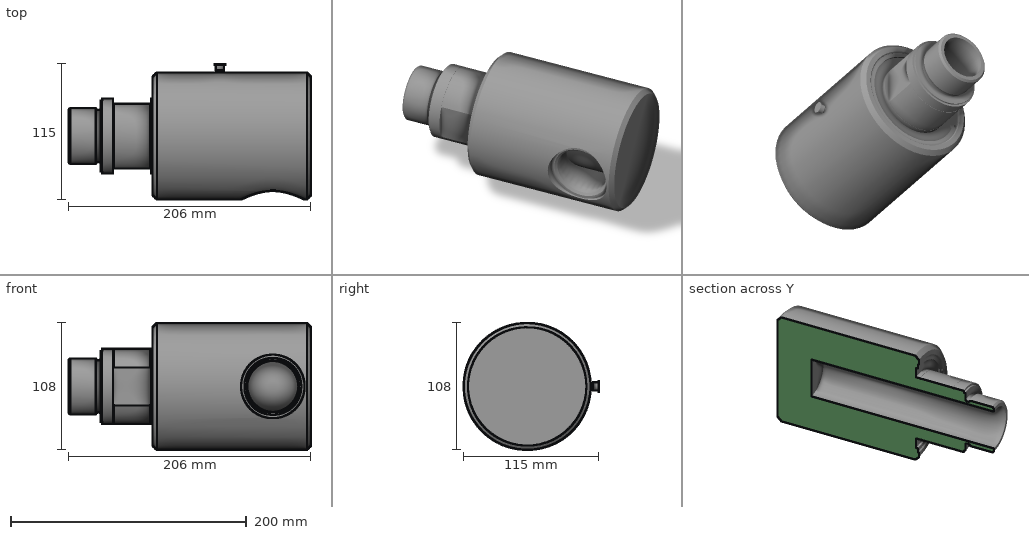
import cadquery as cq
length = 206
relief_start = 23.5
collar_start = 27.2
flats_start = 38.0
flats_end = 70
body_start = 71.3

thread_end = 23.0
thread_diameter = 47.8
thread_chamfer = 1.6
relief_edge_diameter = 45.7
relief_diameter = 44.3

collar_diameter = 64.0
collar_step_diameter = 60.3
collar_step_length = 1.5
groove_width = 0.8
groove_depth = 0.2
flats_width = 55.2

body_diameter = 108.0
body_chamfer = 3.7
bore_diameter = 38.1
shaft_diameter = 50.3

recess_diameter = 90.0
recess_mouth_diameter = 91.7
recess_depth = 2.7
recess_floor = body_start + recess_depth
ring_inner_diameter = 82.4
ring_thickness = 1.6
lug_diameter = 9.0
lug_hole_diameter = 3.0
lug_offset_y = 42.2
lug_offset_z = 11.7

port_x = 173.5
port_face_y = -45.7
port_chamfer_y = -43.9
port_taper_end_y = -28.8
port_spotface_diameter = 54.0
port_mouth_diameter = 48.5
port_entry_diameter = 44.5
port_diameter = 43.3

pin_x = 128.5
pin_root_y = 47.4
pin_neck_end_y = 55.0
pin_shank_start_y = 56.0
pin_top_y = 61.0
pin_neck_diameter = 4.7
pin_shank_diameter = 7.2
pin_head_diameter = 9.5
pin_head_thickness = 0.6


def disc(start, end, diameter):
    """Cylinder about the X axis between two stations."""
    return cq.Workplane("YZ", origin=(start, 0, 0)).circle(diameter / 2).extrude(end - start)


def turned_about_x(outline):
    """Solid of revolution about the X axis from an (x, radius) outline."""
    return outline.close().revolve(360, (0, 0, 0), (1, 0, 0))


def turned_about_y(center_x, steps):
    """Solid of revolution about a line parallel to Y, from (diameter, y) steps."""
    outline = [(0, steps[0][1])]
    outline += [(diameter / 2, y) for diameter, y in steps]
    outline += [(0, steps[-1][1])]
    solid = cq.Workplane("XY").polyline(outline).close().revolve(360, (0, 0, 0), (0, 1, 0))
    return solid.translate((center_x, 0, 0))


def make_spigot():
    """Thread, relief and wrench collar, reaching to the recess floor."""
    thread_radius = thread_diameter / 2
    relief_edge_radius = relief_edge_diameter / 2
    step_radius = collar_step_diameter / 2
    collar_radius = collar_diameter / 2
    groove_radius = collar_radius - groove_depth
    collar_face = collar_start + collar_step_length
    relief_middle = (relief_start + collar_start) / 2
    outline = (
        cq.Workplane("XY")
        .lineTo(0, thread_radius - thread_chamfer)
        .lineTo(thread_chamfer, thread_radius)
        .lineTo(thread_end, thread_radius)
        .lineTo(relief_start, relief_edge_radius)
        .threePointArc((relief_middle, relief_diameter / 2), (collar_start, relief_edge_radius))
        .lineTo(collar_start, step_radius)
        .lineTo(collar_face, step_radius)
        .lineTo(collar_face, collar_radius)
    )
    for groove_start in (flats_start, flats_end - groove_width):
        groove_end = groove_start + groove_width
        outline = (
            outline.lineTo(groove_start, collar_radius)
            .lineTo(groove_start, groove_radius)
            .lineTo(groove_end, groove_radius)
            .lineTo(groove_end, collar_radius)
        )
    outline = outline.lineTo(recess_floor, collar_radius).lineTo(recess_floor, 0)
    spigot = turned_about_x(outline)

    flats_length = flats_end - flats_start
    kept_core = cq.Workplane("XY").box(flats_length, flats_width, collar_diameter)
    kept_core = kept_core.translate((flats_start + flats_length / 2, 0, 0))
    return spigot.cut(disc(flats_start, flats_end, collar_diameter).cut(kept_core))


def make_body():
    """Chamfered cylinder with a bevelled recess in its front face."""
    body = disc(body_start, length, body_diameter).faces("<X or >X").chamfer(body_chamfer)
    recess_radius = recess_diameter / 2
    mouth_radius = recess_mouth_diameter / 2
    bevel_end = body_start + mouth_radius - recess_radius
    recess_outline = (
        cq.Workplane("XY")
        .moveTo(body_start, 0)
        .lineTo(body_start, mouth_radius)
        .lineTo(bevel_end, recess_radius)
        .lineTo(recess_floor, recess_radius)
        .lineTo(recess_floor, 0)
    )
    return body.cut(turned_about_x(recess_outline))


def make_retaining_ring():
    """Open ring with a drilled lug at each end of its gap on the -Y side."""
    ring_front = recess_floor - ring_thickness
    envelope = disc(ring_front, recess_floor, recess_diameter)
    ring = envelope.cut(disc(ring_front, recess_floor, ring_inner_diameter))
    gap = cq.Workplane("XY").box(ring_thickness, recess_diameter, 2 * lug_offset_z)
    ring = ring.cut(gap.translate((ring_front + ring_thickness / 2, -recess_diameter / 2, 0)))
    for lug_z in (-lug_offset_z, lug_offset_z):
        lug_place = (0, -lug_offset_y, lug_z)
        lug = disc(ring_front, recess_floor, lug_diameter).translate(lug_place)
        hole = disc(ring_front, recess_floor, lug_hole_diameter).translate(lug_place)
        ring = ring.union(lug.intersect(envelope)).cut(hole)
    return ring


def make_pin():
    """Necked pin with a thin head, rooted inside the body wall."""
    head_base_y = pin_top_y - pin_head_thickness
    return turned_about_y(
        pin_x,
        [
            (pin_neck_diameter, pin_root_y),
            (pin_neck_diameter, pin_neck_end_y),
            (pin_shank_diameter, pin_shank_start_y),
            (pin_shank_diameter, head_base_y),
            (pin_head_diameter, head_base_y),
            (pin_head_diameter, pin_top_y),
        ],
    )


def make_port():
    """Material removed by the side port, which stops at the shaft."""
    port = turned_about_y(
        port_x,
        [
            (port_spotface_diameter, -body_diameter / 2),
            (port_spotface_diameter, port_face_y),
            (port_mouth_diameter, port_face_y),
            (port_entry_diameter, port_chamfer_y),
            (port_diameter, port_taper_end_y),
            (port_diameter, 0),
        ],
    )
    return port.cut(disc(body_start, length, shaft_diameter))


result = make_body().union(make_spigot()).union(make_retaining_ring()).union(make_pin())
result = result.cut(disc(0, port_x, bore_diameter)).cut(make_port())